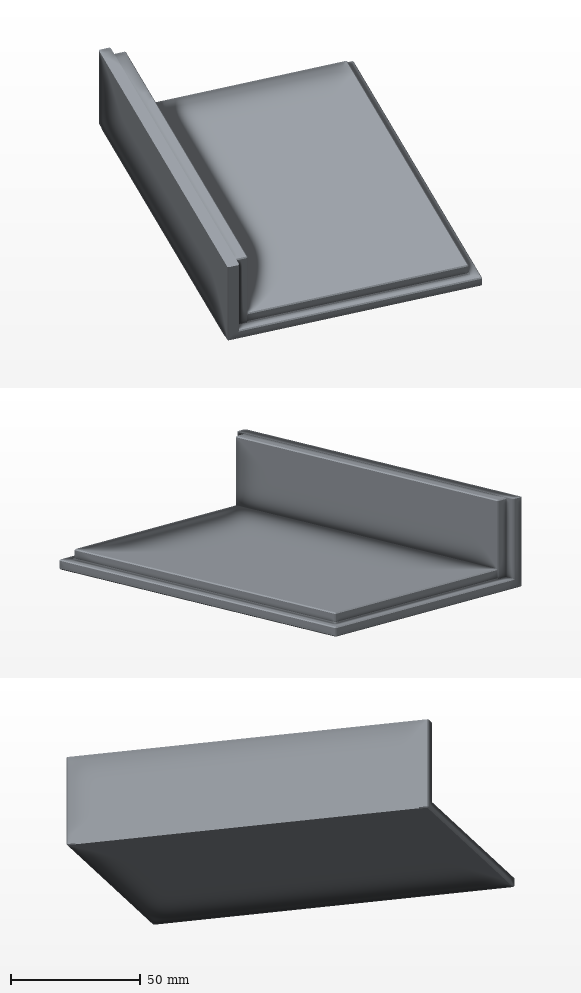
import cadquery as cq

length = 148.0
depth = 105.0
height = 36.0

base_thickness = 4.0
wall_thickness = 4.9
edge_break = 0.5

lining_inset = 3.8
lining_back = 9.8
lining_drop = 0.1
plate_inset = 4.1
plate_top = 8.1

foot_width = 0.5


def block(side_inset, y_end, z_end):
    """Box centred on X, starting at the front face and the underside."""
    width = length - 2 * side_inset
    return cq.Workplane("XY").box(width, y_end, z_end, centered=(True, False, False))


base = block(0, depth, base_thickness).edges().chamfer(edge_break)
front_wall = block(0, wall_thickness, height).edges("|Z or <Z").chamfer(edge_break)

plate = block(plate_inset, depth - plate_inset, plate_top)
plate = plate.edges(">Z or (|Z and >Y)").chamfer(edge_break)

foot_inset = plate_inset - foot_width
foot = block(foot_inset, depth - foot_inset, base_thickness + foot_width)
foot = foot.edges(">Z").chamfer(foot_width)

lining = block(lining_inset, lining_back, height - lining_drop)
lining = lining.edges("(>Y and |Z) or (>Z and (not <Y))").chamfer(edge_break)

result = base.union(front_wall).union(plate).union(foot).union(lining)